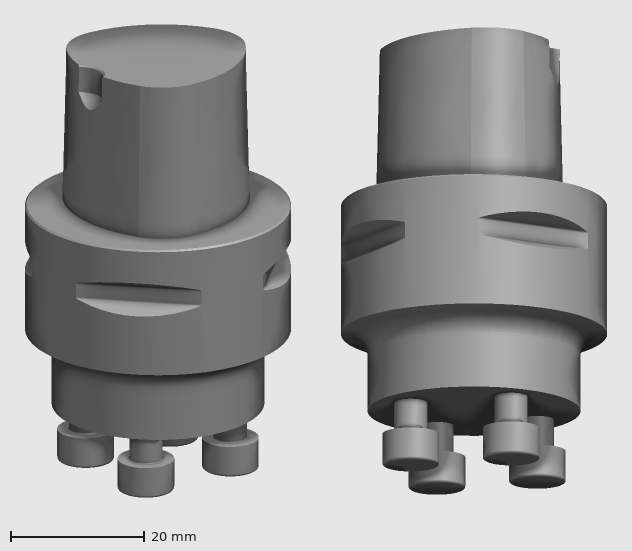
import cadquery as cq
import math

shank_height = 24.0
flange_height = 20.0
neck_end = 31.9
screw_end = 65.6 - shank_height

polygon_width = 28.2
polygon_side = 11.0
taper_angle = math.degrees(math.atan(1 / 40))
lobe_radius = (polygon_width - polygon_side) / 2
side_radius = polygon_width - lobe_radius
lobe_center_radius = polygon_side / math.sqrt(3)
lobe_pitch = 360 / 3
lobe_angles = [90 + index * lobe_pitch for index in range(3)]
lobe_half_span = lobe_pitch / 4

flange_radius = 40.0 / 2
flange_chamfer = 0.25
neck_radius = 32.0 / 2
neck_fillet = 2.95
underside_angle = math.radians(15)

groove_count = 4
first_groove_angle = 45.0
groove_z = -8.0
groove_floor_distance = 17.6
groove_floor_width = 2.5
groove_flank_angle = math.radians(30)
groove_fillet = 0.3
groove_overshoot = 0.65

notch_radius = 3.7
notch_axis_y = -14.6
notch_depth = 4.25
notch_chamfer = 0.25

screw_count = 4
first_screw_angle = 45.0
screw_circle_radius = 11.0
screw_shank_radius = 5.0 / 2
screw_head_radius = 8.5 / 2
screw_head_height = 4.85
screw_head_fillet = 0.4
screw_neck_fillet = 0.2


def lobe_point(center_angle, normal_angle, radius):
    """Point at a given radius and direction from the lobe centre at center_angle (degrees)."""
    center, normal = math.radians(center_angle), math.radians(normal_angle)
    return (
        lobe_center_radius * math.cos(center) + radius * math.cos(normal),
        lobe_center_radius * math.sin(center) + radius * math.sin(normal),
    )


def make_shank():
    """Lobes at 90, 210 and 330 degrees, joined tangentially by flatter side arcs."""
    first_lobe = lobe_angles[0]
    start = lobe_point(first_lobe, first_lobe - lobe_half_span, lobe_radius)
    outline = cq.Workplane("XY").moveTo(*start)
    for angle in lobe_angles:
        next_lobe = angle + lobe_pitch
        facing_lobe = angle + 2 * lobe_pitch
        side_middle = angle + lobe_pitch / 2
        outline = outline.threePointArc(
            lobe_point(angle, angle, lobe_radius),
            lobe_point(angle, angle + lobe_half_span, lobe_radius),
        ).threePointArc(
            lobe_point(facing_lobe, side_middle, side_radius),
            lobe_point(next_lobe, next_lobe - lobe_half_span, lobe_radius),
        )
    return outline.close().extrude(shank_height, taper=taper_angle)


def make_flange_and_neck():
    """Revolved flange whose sloping underside blends into the neck."""
    fillet_center_x = neck_radius + neck_fillet
    blend_x = fillet_center_x - neck_fillet * math.sin(underside_angle)
    blend_z = -flange_height - (flange_radius - blend_x) * math.tan(underside_angle)
    fillet_center_z = blend_z - neck_fillet * math.cos(underside_angle)
    middle_angle = (math.pi + math.pi / 2 + underside_angle) / 2
    fillet_middle = (
        fillet_center_x + neck_fillet * math.cos(middle_angle),
        fillet_center_z + neck_fillet * math.sin(middle_angle),
    )
    return (
        cq.Workplane("XZ")
        .lineTo(flange_radius - flange_chamfer, 0)
        .lineTo(flange_radius, -flange_chamfer)
        .lineTo(flange_radius, -flange_height)
        .lineTo(blend_x, blend_z)
        .threePointArc(fillet_middle, (neck_radius, fillet_center_z))
        .lineTo(neck_radius, -neck_end)
        .lineTo(0, -neck_end)
        .close()
        .revolve(360, (0, 0, 0), (0, 1, 0))
    )


def make_groove():
    """Straight trapezoidal cutter along Y with a rounded floor, on the +X side."""
    depth = flange_radius - groove_floor_distance + groove_overshoot
    half_floor = groove_floor_width / 2
    half_mouth = half_floor + depth * math.tan(groove_flank_angle)
    mouth_distance = groove_floor_distance + depth
    return (
        cq.Workplane("XZ")
        .moveTo(groove_floor_distance, groove_z - half_floor)
        .lineTo(mouth_distance, groove_z - half_mouth)
        .lineTo(mouth_distance, groove_z + half_mouth)
        .lineTo(groove_floor_distance, groove_z + half_floor)
        .close()
        .extrude(flange_radius, both=True)
        .edges("|Y and <X")
        .fillet(groove_fillet)
    )


def make_notch():
    """Drilled cutter with a conical tip and a chamfered mouth."""
    floor_z = shank_height - notch_depth
    return (
        cq.Workplane("XZ")
        .moveTo(0, floor_z - notch_radius)
        .lineTo(notch_radius, floor_z)
        .lineTo(notch_radius, shank_height - notch_chamfer)
        .lineTo(notch_radius + notch_chamfer, shank_height)
        .lineTo(0, shank_height)
        .close()
        .revolve(360, (0, 0, 0), (0, 1, 0))
        .translate((0, notch_axis_y, 0))
    )


def make_screw():
    """Cap screw below the neck, with its axis on Z."""
    head_top = screw_head_height - screw_end
    return (
        cq.Workplane("XZ")
        .moveTo(0, -screw_end)
        .lineTo(screw_head_radius - screw_head_fillet, -screw_end)
        .radiusArc((screw_head_radius, screw_head_fillet - screw_end), -screw_head_fillet)
        .lineTo(screw_head_radius, head_top)
        .lineTo(screw_shank_radius + screw_neck_fillet, head_top)
        .radiusArc((screw_shank_radius, head_top + screw_neck_fillet), screw_neck_fillet)
        .lineTo(screw_shank_radius, -neck_end)
        .lineTo(0, -neck_end)
        .close()
        .revolve(360, (0, 0, 0), (0, 1, 0))
    )


def place_around_axis(shape, angle):
    """Turn a shape about the part axis by an angle in degrees."""
    return shape.rotate((0, 0, 0), (0, 0, 1), angle)


result = make_flange_and_neck().union(make_shank()).cut(make_notch())

groove = make_groove()
for index in range(groove_count):
    result = result.cut(place_around_axis(groove, first_groove_angle + index * 360 / groove_count))

screw = make_screw().translate((screw_circle_radius, 0, 0))
for index in range(screw_count):
    result = result.union(place_around_axis(screw, first_screw_angle + index * 360 / screw_count))